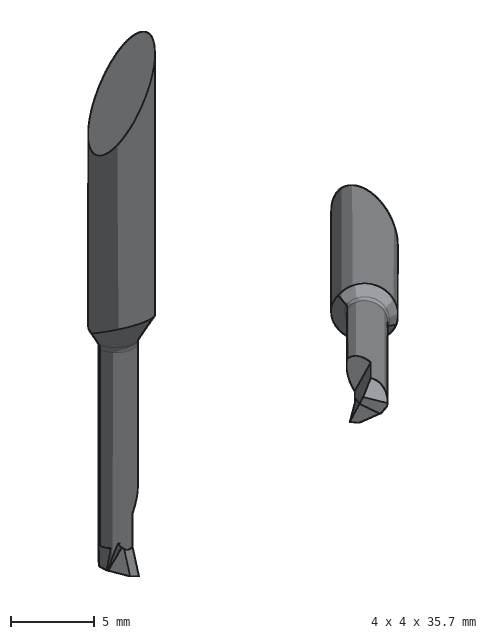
import cadquery as cq
import math

total_length = 35.7
shank_radius = 2.0
shank_end_angle = 60.0

neck_radius = 1.375
relief_radius = 1.35
relief_center_x = -0.6
neck_top_z = 15.18
cone_angle = 30.0
neck_fillet = 0.8

rake_y = 0.3
flat_top_z = 4.0
flat_runout_angle = 30.0

end_chamfer_top_z = 1.15
end_edge_angle = 4.7
end_clearance_angle = 9.0

recess_top_z = 1.85
recess_edge_x = -0.57
recess_edge_y = -1.2
recess_tilt = 12.5
recess_lean = -4.0

tip_x = 1.35
flank_angle = 20.0
seat_bottom_x = 0.07
seat_angle = 12.5
land_depth = 0.55
land_setback = 0.15
tip_front_x = 0.07
tip_front_y = -1.3

reach = 7.15


def tan(angle):
    return math.tan(math.radians(angle))


def make_stepped_rod(radius, center_x, outer_radius):
    """Round neck that flares through a fillet and a cone to the outer radius."""
    slope = math.radians(cone_angle)
    cone_radius = radius + neck_fillet * (1 - math.cos(slope))
    cone_z = neck_top_z + neck_fillet * math.sin(slope)
    arc_middle = (
        radius + neck_fillet * (1 - math.cos(slope / 2)),
        neck_top_z + neck_fillet * math.sin(slope / 2),
    )
    cone_top_z = cone_z + (outer_radius - cone_radius) / tan(cone_angle)
    return (
        cq.Workplane("XZ")
        .moveTo(0, 0)
        .lineTo(radius, 0)
        .lineTo(radius, neck_top_z)
        .threePointArc(arc_middle, (cone_radius, cone_z))
        .lineTo(outer_radius, cone_top_z)
        .lineTo(outer_radius, total_length)
        .lineTo(0, total_length)
        .close()
        .revolve(360, (0, 0, 0), (0, 1, 0))
        .translate((center_x, 0, 0))
    )


def extrude_along_y(points):
    return cq.Workplane("XZ").polyline(points).close().extrude(reach, both=True)


def extrude_along_x(points):
    return cq.Workplane("YZ").polyline(points).close().extrude(reach, both=True)


def make_shank_end_cut():
    low_z = total_length - 2 * shank_radius * tan(shank_end_angle)
    return extrude_along_x([
        (shank_radius, total_length),
        (-shank_radius, low_z),
        (-reach, low_z),
        (-reach, total_length),
    ])


def make_back_flat_cut():
    runout_top_z = flat_top_z + (neck_radius - rake_y) / tan(flat_runout_angle)
    return extrude_along_x([
        (rake_y, -reach),
        (rake_y, flat_top_z),
        (neck_radius, runout_top_z),
        (neck_radius, -reach),
    ])


def make_end_clearance_cut():
    """Inclined lower end that rises away from the tip corner in both directions."""
    cut = extrude_along_x([
        (rake_y, 0),
        (-reach, (reach + rake_y) * tan(end_clearance_angle)),
        (-reach, -reach),
        (rake_y, -reach),
    ])
    return cut.rotate((0, 0, 0), (0, 1, 0), end_edge_angle).translate((tip_x, 0, 0))


def make_end_chamfer_cut():
    return extrude_along_y([
        (-neck_radius, end_chamfer_top_z),
        (end_chamfer_top_z - neck_radius, 0),
        (end_chamfer_top_z - neck_radius, -reach),
        (-reach, -reach),
        (-reach, end_chamfer_top_z),
    ])


def make_recess_cut():
    return (
        cq.Workplane("XY")
        .box(2 * reach, reach, reach, centered=(True, False, False))
        .translate((0, -reach, -reach))
        .rotate((0, 0, 0), (1, 0, 0), recess_lean)
        .rotate((0, 0, 0), (0, 0, 1), recess_tilt)
        .translate((recess_edge_x, recess_edge_y, recess_top_z))
    )


apex_z = (tip_x - seat_bottom_x) / (tan(flank_angle) + tan(seat_angle))
apex_x = tip_x - apex_z * tan(flank_angle)


def make_tip_region():
    """Triangular prism holding the tip between its seat and its flank."""
    return extrude_along_y([(seat_bottom_x, 0), (tip_x, 0), (apex_x, apex_z)])


def make_neck_pocket():
    """Room for the tip: the tip region, open to the side below the flank."""
    flank_foot_x = tip_x + reach * tan(flank_angle)
    seat_foot_x = seat_bottom_x - reach * tan(seat_angle)
    return extrude_along_y([(seat_foot_x, -reach), (flank_foot_x, -reach), (apex_x, apex_z)])


def make_holder():
    main_rod = make_stepped_rod(neck_radius, 0, shank_radius)
    relief_rod = make_stepped_rod(relief_radius, relief_center_x, shank_radius - 2 * relief_center_x)
    return (
        main_rod.intersect(relief_rod)
        .cut(make_shank_end_cut())
        .cut(make_back_flat_cut())
        .cut(make_recess_cut())
        .cut(make_end_chamfer_cut())
        .cut(make_end_clearance_cut())
        .cut(make_neck_pocket())
    )


def make_tip():
    """Cutting tip with a narrow land behind its edge and a steeper flank below."""
    footprint = [
        (tip_x, rake_y),
        (tip_x - land_setback, rake_y - land_depth),
        (tip_front_x, tip_front_y),
        (-reach, tip_front_y),
        (-reach, rake_y),
    ]
    lean = apex_z * tan(flank_angle)
    leaning_prism = (
        cq.Workplane("XY")
        .polyline(footprint)
        .close()
        .workplane(offset=apex_z)
        .polyline([(x - lean, y) for x, y in footprint])
        .close()
        .loft(ruled=True)
    )
    return leaning_prism.intersect(make_tip_region()).cut(make_end_clearance_cut())


holder = make_holder()
tip = make_tip()
result = cq.Compound.makeCompound([holder.val(), tip.val()])